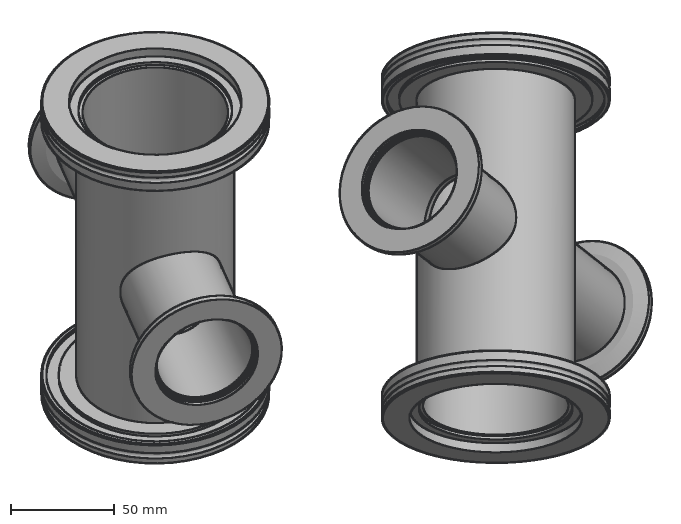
import cadquery as cq

PORT_SPAN = 185.4
HEIGHT = 178.7

MAIN_OD = 76.4
MAIN_BORE = 70.0
END_OD = 110.0
END_THICKNESS = 12.0
END_RECESS_DIA = 83.0
END_RECESS_DEPTH = 4.8
END_LIP_BORE = 74.0
END_LIP_THICKNESS = 1.7
EDGE_CHAMFER = 0.5
RIM_GROOVE_DEPTH = 1.1
RIM_GROOVE_START = 3.5
RIM_GROOVE_END = 6.7
BACK_GROOVE_ID = 93.0
BACK_GROOVE_OD = 105.0
BACK_GROOVE_DEPTH = 1.7

SIDE_OD = 50.8
SIDE_BORE = 47.6
PORT_OD = 75.0
PORT_RIM_THICKNESS = 3.2
PORT_THICKNESS = 5.0
PORT_SHOULDER_DIA = 60.3
PORT_RECESS_DIA = 51.2
PORT_RECESS_DEPTH = 2.2
PORT_LIP_BORE = 49.1
PORT_LIP_THICKNESS = 1.7

MAIN_LENGTH = HEIGHT - 2 * (END_RECESS_DEPTH + END_LIP_THICKNESS)
SIDE_REACH = PORT_SPAN / 2 - PORT_RECESS_DEPTH - PORT_LIP_THICKNESS


def cylinder(diameter, start, end):
    """Cylinder on the Z axis between two heights."""
    return cq.Workplane("XY").workplane(offset=start).circle(diameter / 2).extrude(end - start)


def ring(outer_dia, inner_dia, start, end):
    """Ring on the Z axis between two heights."""
    return cylinder(outer_dia, start, end).cut(cylinder(inner_dia, start, end))


def cut_stepped_bore(flange, thickness, recess_dia, recess_depth, lip_bore, lip_thickness, socket_dia):
    """Cut the face recess, the lip bore and the tube socket, from the outer face at Z = 0 down."""
    lip_end = recess_depth + lip_thickness
    flange = flange.cut(cylinder(recess_dia, -recess_depth, 0))
    flange = flange.cut(cylinder(lip_bore, -lip_end, 0))
    return flange.cut(cylinder(socket_dia, -thickness, -lip_end))


def make_rim_groove():
    """Ring of material removed from the end flange rim, with an arc for its bottom."""
    rim = END_OD / 2
    middle = -(RIM_GROOVE_START + RIM_GROOVE_END) / 2
    return (
        cq.Workplane("XZ")
        .moveTo(rim, -RIM_GROOVE_START)
        .threePointArc((rim - RIM_GROOVE_DEPTH, middle), (rim, -RIM_GROOVE_END))
        .close()
        .revolve(360, (0, 0, 0), (0, 1, 0))
    )


def make_end_flange():
    """End flange with its outer face at Z = 0, facing +Z."""
    flange = cylinder(END_OD, -END_THICKNESS, 0).edges().chamfer(EDGE_CHAMFER)
    flange = flange.cut(make_rim_groove())
    back_groove_floor = BACK_GROOVE_DEPTH - END_THICKNESS
    flange = flange.cut(ring(BACK_GROOVE_OD, BACK_GROOVE_ID, -END_THICKNESS, back_groove_floor))
    return cut_stepped_bore(
        flange, END_THICKNESS, END_RECESS_DIA, END_RECESS_DEPTH,
        END_LIP_BORE, END_LIP_THICKNESS, MAIN_OD,
    )


def make_side_flange():
    """Side flange with a tapered back and its outer face at Z = 0, facing +Z."""
    profile = [
        (0, 0),
        (PORT_OD / 2, 0),
        (PORT_OD / 2, -PORT_RIM_THICKNESS),
        (PORT_SHOULDER_DIA / 2, -PORT_THICKNESS),
        (0, -PORT_THICKNESS),
    ]
    flange = cq.Workplane("XZ").polyline(profile).close().revolve(360, (0, 0, 0), (0, 1, 0))
    return cut_stepped_bore(
        flange, PORT_THICKNESS, PORT_RECESS_DIA, PORT_RECESS_DEPTH,
        PORT_LIP_BORE, PORT_LIP_THICKNESS, SIDE_OD,
    )


def make_main_tube():
    """Vertical tube with a hole in each side that opens into the side tube."""
    tube = ring(MAIN_OD, MAIN_BORE, -MAIN_LENGTH / 2, MAIN_LENGTH / 2)
    side_bore = cylinder(SIDE_BORE, -MAIN_OD, MAIN_OD).rotate((0, 0, 0), (0, 1, 0), 90)
    return tube.cut(side_bore)


def make_side_tube():
    """Tube along +X whose inner end is shaped to the outside of the main tube."""
    tube = ring(SIDE_OD, SIDE_BORE, 0, SIDE_REACH).rotate((0, 0, 0), (0, 1, 0), 90)
    return tube.cut(cylinder(MAIN_OD, -SIDE_OD, SIDE_OD))


main_tube = make_main_tube()
bodies = [main_tube.val()]

for turn in (0, 180):
    end_flange = make_end_flange().translate((0, 0, HEIGHT / 2))
    bodies.append(end_flange.rotate((0, 0, 0), (1, 0, 0), turn).val())

for turn in (0, 180):
    side_flange = make_side_flange().rotate((0, 0, 0), (0, 1, 0), 90).translate((PORT_SPAN / 2, 0, 0))
    for body in (make_side_tube(), side_flange):
        bodies.append(body.rotate((0, 0, 0), (0, 0, 1), turn).val())

result = cq.Compound.makeCompound(bodies)